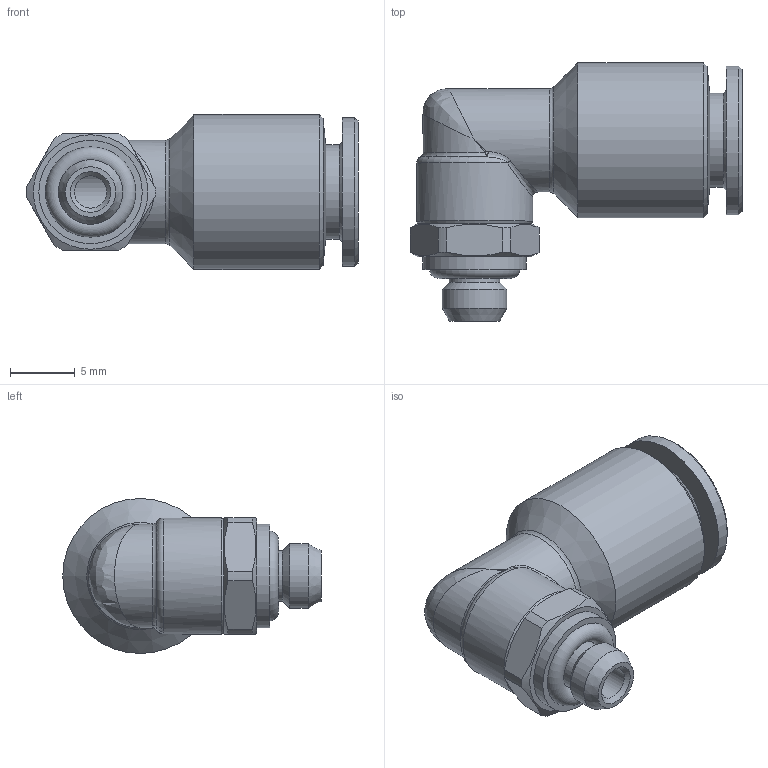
import cadquery as cq
import math


ARM_RADIUS = 4.0
CORNER_START = ARM_RADIUS / 2
CORNER_LUNE = 60.0
CORNER_DIRECTION = 135.0
SLEEVE_BLEND = 0.4

BODY_RADIUS = 6.0
BODY_START = 8.0
CONE_START = BODY_START - (BODY_RADIUS - ARM_RADIUS)
CONE_FILLET = 0.5
BODY_END = 18.0
BODY_CHAMFER = 0.3
END_FACE_RISE = 0.2

COLLAR_NECK_RADIUS = 3.65
COLLAR_RADIUS = 5.75
COLLAR_START = 19.5
COLLAR_END = 20.7
COLLAR_CHAMFER = 0.25

SLEEVE_RADIUS = 4.5
SHOULDER_START = 0.93
SHOULDER_MIDDLE = 1.29
SHOULDER_END = 1.76
SLEEVE_END = 6.45
SLEEVE_CHAMFER_DEPTH = 0.2
SLEEVE_CHAMFER_WIDTH = 0.1

HEX_ACROSS_FLATS = 9.0
HEX_CORNER_RADIUS = 5.0
HEX_FACE_RADIUS = 4.43
HEX_CHAMFER_ANGLE = 30.0
HEX_END = 9.0

FLANGE_RADIUS = 4.0
FLANGE_END = 10.0
RING_RADIUS = 3.5
RING_END = 10.7
RING_SECTION_RADIUS = 0.75
RELIEF_RADIUS = 1.95
RELIEF_END = 11.0
THREAD_RADIUS = 2.5
THREAD_START = RELIEF_END + THREAD_RADIUS - RELIEF_RADIUS
THREAD_END = 13.0
STUD_END = 14.0

STUD_BORE_RADIUS = 1.25
STUD_BORE_CHAMFER = 0.32
TUBE_BORE_RADIUS = 2.0


def vertical_prism(points):
    """Prism over an XY outline, taller than the elbow."""
    return cq.Workplane("XY").polyline(points).close().extrude(2 * BODY_RADIUS, both=True)


def about_x(profile):
    """Close an XY half-section and turn it about the tube axis."""
    return profile.close().revolve(360, (0, 0, 0), (1, 0, 0))


def about_y(profile):
    """Close an XY half-section and turn it about the stud axis."""
    return profile.close().revolve(360, (0, 0, 0), (0, 1, 0))


def elbow_corner():
    """Outer corner of the elbow: a stretched spherical lune, tangent to both arms at its flat sides."""
    ellipse_size = ARM_RADIUS**2 - ARM_RADIUS * CORNER_START + CORNER_START**2
    long_axis = math.sqrt(2 * ellipse_size)
    short_axis = math.sqrt(2 * ellipse_size / 3)
    lune = (
        cq.Workplane("XZ")
        .moveTo(0, -1)
        .threePointArc((1, 0), (0, 1))
        .close()
        .revolve(CORNER_LUNE, (0, 0, 0), (0, 1, 0))
        .rotate((0, 0, 0), (0, 0, 1), -CORNER_LUNE / 2)
    )
    stretch = cq.Matrix([
        [long_axis, 0, 0, 0],
        [0, short_axis, 0, 0],
        [0, 0, ARM_RADIUS, 0],
        [0, 0, 0, 1],
    ])
    corner = cq.Workplane(lune.val().transformGeometry(stretch))
    return corner.rotate((0, 0, 0), (0, 0, 1), CORNER_DIRECTION)


def tube_arm():
    """Cylinder along X, trimmed at the wedge plane, with the cone and the tube body."""
    inner_face = BODY_END + END_FACE_RISE
    arm = about_x(
        cq.Workplane("XY")
        .moveTo(-ARM_RADIUS, 0)
        .lineTo(-ARM_RADIUS, ARM_RADIUS)
        .lineTo(CONE_START, ARM_RADIUS)
        .lineTo(BODY_START, BODY_RADIUS)
        .lineTo(BODY_END - BODY_CHAMFER, BODY_RADIUS)
        .lineTo(BODY_END, BODY_RADIUS - BODY_CHAMFER)
        .lineTo(inner_face, COLLAR_NECK_RADIUS)
        .lineTo(COLLAR_START - COLLAR_CHAMFER, COLLAR_NECK_RADIUS)
        .lineTo(COLLAR_START, COLLAR_NECK_RADIUS + COLLAR_CHAMFER)
        .lineTo(COLLAR_START, COLLAR_RADIUS)
        .lineTo(COLLAR_END - COLLAR_CHAMFER, COLLAR_RADIUS)
        .lineTo(COLLAR_END, COLLAR_RADIUS - COLLAR_CHAMFER)
        .lineTo(COLLAR_END, 0)
    )
    cone_root = cq.selectors.BoxSelector(
        (CONE_START - CONE_FILLET, -BODY_RADIUS, -BODY_RADIUS),
        (CONE_START + CONE_FILLET, BODY_RADIUS, BODY_RADIUS),
    )
    arm = arm.edges(cone_root).edges("%CIRCLE").fillet(CONE_FILLET)
    reach = 2 * BODY_RADIUS
    trim = vertical_prism([
        (0, 0),
        (-reach * CORNER_START / ARM_RADIUS, reach),
        (COLLAR_END, reach),
        (COLLAR_END, -reach),
        (0, -reach),
    ])
    return arm.intersect(trim)


def stud_arm():
    """Cylinder along -Y from the wedge plane, stepping out to the sleeve through an S-shaped shoulder."""
    run = SHOULDER_END - SHOULDER_START
    step = SLEEVE_RADIUS - ARM_RADIUS
    middle_radius = ARM_RADIUS + step * (SHOULDER_MIDDLE - SHOULDER_START) / run
    arm = about_y(
        cq.Workplane("XY")
        .moveTo(0, ARM_RADIUS)
        .lineTo(ARM_RADIUS, ARM_RADIUS)
        .lineTo(ARM_RADIUS, -SHOULDER_START)
        .tangentArcPoint((middle_radius, -SHOULDER_MIDDLE), relative=False)
        .tangentArcPoint((SLEEVE_RADIUS, -SHOULDER_END), relative=False)
        .lineTo(SLEEVE_RADIUS, -SLEEVE_END + SLEEVE_CHAMFER_DEPTH)
        .lineTo(SLEEVE_RADIUS - SLEEVE_CHAMFER_WIDTH, -SLEEVE_END)
        .lineTo(0, -SLEEVE_END)
    )
    reach = 2 * ARM_RADIUS
    trim = vertical_prism([
        (0, 0),
        (-reach, reach * CORNER_START / ARM_RADIUS),
        (-reach, -SLEEVE_END),
        (reach, -SLEEVE_END),
        (reach, 0),
    ])
    return arm.intersect(trim)


def elbow():
    """Both arms joined through the rounded corner, with the sleeve blended into the tube arm."""
    body = tube_arm().union(elbow_corner()).union(stud_arm())
    sleeve_joint = cq.selectors.BoxSelector(
        (SHOULDER_START, -ARM_RADIUS, -ARM_RADIUS),
        (SLEEVE_RADIUS, -SHOULDER_START, ARM_RADIUS),
    )
    return body.edges(sleeve_joint).fillet(SLEEVE_BLEND)


def hexagon():
    """Hexagon with corners on the X axis, turned and chamfered on both faces."""
    across_corners = HEX_ACROSS_FLATS / math.cos(math.radians(30))
    prism = (
        cq.Workplane("XZ", origin=(0, -SLEEVE_END, 0))
        .polygon(6, across_corners)
        .extrude(HEX_END - SLEEVE_END)
    )
    chamfer_depth = (HEX_CORNER_RADIUS - HEX_FACE_RADIUS) * math.tan(math.radians(HEX_CHAMFER_ANGLE))
    turned = about_y(
        cq.Workplane("XY")
        .moveTo(0, -SLEEVE_END)
        .lineTo(HEX_FACE_RADIUS, -SLEEVE_END)
        .lineTo(HEX_CORNER_RADIUS, -SLEEVE_END - chamfer_depth)
        .lineTo(HEX_CORNER_RADIUS, -HEX_END + chamfer_depth)
        .lineTo(HEX_FACE_RADIUS, -HEX_END)
        .lineTo(0, -HEX_END)
    )
    return prism.intersect(turned)


def stud():
    """Seal flange, thread relief and stud, turned about Y."""
    return about_y(
        cq.Workplane("XY")
        .moveTo(0, -HEX_END)
        .lineTo(FLANGE_RADIUS, -HEX_END)
        .lineTo(FLANGE_RADIUS, -FLANGE_END)
        .lineTo(RELIEF_RADIUS, -FLANGE_END)
        .lineTo(RELIEF_RADIUS, -RELIEF_END)
        .lineTo(THREAD_RADIUS, -THREAD_START)
        .lineTo(THREAD_RADIUS, -THREAD_END)
        .lineTo(RELIEF_RADIUS, -STUD_END)
        .lineTo(0, -STUD_END)
    )


def sealing_ring():
    """Round-section ring partly sunk into the end face of the seal flange."""
    ring = cq.Solid.makeTorus(
        RING_RADIUS - RING_SECTION_RADIUS,
        RING_SECTION_RADIUS,
        cq.Vector(0, -RING_END + RING_SECTION_RADIUS, 0),
        cq.Vector(0, 1, 0),
    )
    return cq.Workplane(ring)


def passages():
    """Chamfered stud bore meeting the tube bore, which opens at the tube end."""
    stud_bore = about_y(
        cq.Workplane("XY")
        .moveTo(0, 0)
        .lineTo(STUD_BORE_RADIUS, 0)
        .lineTo(STUD_BORE_RADIUS, -STUD_END + STUD_BORE_CHAMFER)
        .lineTo(STUD_BORE_RADIUS + STUD_BORE_CHAMFER, -STUD_END)
        .lineTo(0, -STUD_END)
    )
    tube_bore = (
        cq.Workplane("YZ", origin=(-TUBE_BORE_RADIUS, 0, 0))
        .circle(TUBE_BORE_RADIUS)
        .extrude(COLLAR_END + TUBE_BORE_RADIUS)
    )
    return stud_bore.union(tube_bore)


result = elbow().union(hexagon()).union(stud()).union(sealing_ring()).cut(passages())